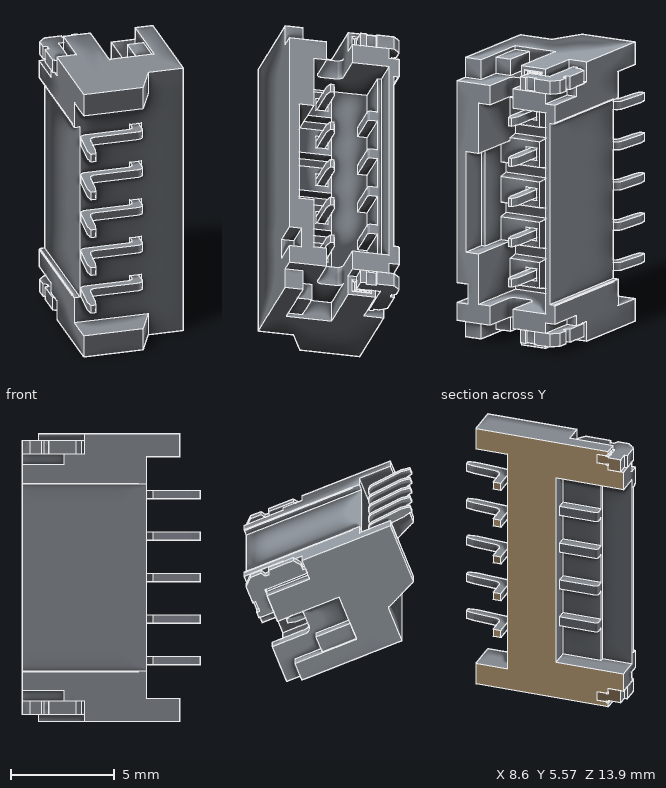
import cadquery as cq


CONTACT_COUNT = 5
PITCH = 2.0
CONTACT_SIZE = 0.4
CONTACT_Y = 3.09

HALF_LENGTH = 6.95
HOUSING_HEIGHT = 5.49
BODY_BACK_X = 6.0
WING_BACK_X = 7.62
WING_INNER_Z = 5.82
WING_SLOPE_TOP_Y = 3.73
WING_SLOPE_BOTTOM_Y = 2.99

RELIEF_HEIGHT = 0.28
RELIEF_HALF_LENGTH = 4.5
LIP_STEP = 0.04
LIP_LENGTH = 5.62

CAVITY_DEPTH = 3.48
CAVITY_HALF_LENGTH = 5.0
CAVITY_BOTTOM_Y = 0.51
CAVITY_TOP_Y = 4.27
RAISED_HALF_LENGTH = 2.5
RAISED_TOP_Y = 4.99
MOUTH_DEPTH = 1.5
MOUTH_STEP = 0.2

RIB_WIDTH = 0.49
RIB_TOP_Y = 1.18
RIB_ROUND = 0.15

PAD_FRONT_X = 2.97
PAD_SIDE_TAPER = 0.11
PAD_BOTTOM_TAPER = 0.14
PAD_BOTTOM_Y = 2.49
PAD_HALF_WIDTH = 0.75
PAD_OVERLAP = 0.83
HOLE_SIZE = 0.61

SHELF_Z = 5.96
SHELF_STEP_X = 0.79
SLOT_BOTTOM_Y = 2.35
SLOT_TOP_Y = 3.63
SLOT_DEPTH = 2.03
SLOT_ROUND = 0.29
POCKET_TOP_Y = 4.6
POCKET_DEPTH = 4.0
BLOCK_FRONT_X = 2.21
BLOCK_BOTTOM_Y = 3.8
BLOCK_TOP_Z = 6.77
TAB_RECESS_LENGTH = 3.02
TAB_RECESS_HEIGHT = 0.99
UNDERCUT_LENGTH = 2.03
UNDERCUT_HEIGHT = 0.51
UNDERCUT_Z = 5.45

KEY_DEPTH = 0.61
KEY_LENGTH = 1.5
KEY_Z_MIN = -5.07
KEY_Z_MAX = -4.09

TONGUE_LENGTH = 0.55
TONGUE_RECT = (1.26, 2.0, 6.24, 6.67)
SOCKET_MOUTH_RECT = (1.18, 2.17, 6.16, 6.77)
SOCKET_LEAD_IN = 0.14

TAB_TOP_Z = 6.62
TAB_BOTTOM_Y = -0.08
TAB_FRONT_TOP_Y = 1.93
TAB_FOOT_TOP_Y = 0.75
TAB_HEEL_X = 2.86
TAB_HEEL_Y = 0.51
TAB_CORNER_Y = 0.26
TAB_FRONT_BEVEL_X = 0.38
TAB_HEEL_BEVEL_X = 2.6
FOOT_NOTCH_START_X = 0.93
FOOT_NOTCH_END_X = 1.3
FOOT_NOTCH_TOP_Y = 0.13
FOOT_NOTCH_TOP_START_X = 1.05
FOOT_NOTCH_TOP_END_X = 1.26
FRONT_GROOVE_DEPTH = 0.15
FRONT_GROOVE_BOTTOM_Y = 1.13
FRONT_GROOVE_TOP_Y = 1.64

CONTACT_FRONT_X = 0.99
CONTACT_TAPER_LENGTH = 0.39
TIP_TOP_INSET = 0.1
TIP_BOTTOM_INSET = 0.13
TAIL_TIP_BOTTOM_INSET = 0.05
LEG_FRONT_X = 6.32
BEND_RADIUS = 0.3
TAIL_END_X = 8.6
TAIL_TAPER_X = 8.17
TAIL_LOW_Y = 0.01
TAIL_SLOPE = 0.09


def box(x_min, x_max, y_min, y_max, z_min, z_max):
    """A block given by its limits along each axis."""
    size = (x_max - x_min, y_max - y_min, z_max - z_min)
    return cq.Workplane("XY").box(*size, centered=False).translate((x_min, y_min, z_min))


def tapered_block(x_start, rect_start, x_end, rect_end):
    """A block along X whose (y_min, y_max, z_min, z_max) section changes evenly from end to end."""
    wires = []
    for x, (y_min, y_max, z_min, z_max) in ((x_start, rect_start), (x_end, rect_end)):
        corners = [(x, y_min, z_min), (x, y_max, z_min), (x, y_max, z_max), (x, y_min, z_max)]
        wires.append(cq.Wire.makePolygon([cq.Vector(*corner) for corner in corners], close=True))
    return cq.Workplane(obj=cq.Solid.makeLoft(wires, True))


def both_ends(shape):
    """The shape and its mirror image at the other end of the housing."""
    return [shape, shape.mirror("XY")]


def contact_positions():
    middle = (CONTACT_COUNT - 1) / 2
    return [(index - middle) * PITCH for index in range(CONTACT_COUNT)]


def rib_positions():
    contacts = contact_positions()
    return [(low + high) / 2 for low, high in zip(contacts, contacts[1:])]


def housing_envelope():
    """The body between the wings, with the sloped wings reaching further back."""
    side_outline = [
        (0, 0),
        (WING_BACK_X, 0),
        (WING_BACK_X, WING_SLOPE_BOTTOM_Y),
        (BODY_BACK_X, WING_SLOPE_TOP_Y),
        (BODY_BACK_X, HOUSING_HEIGHT),
        (0, HOUSING_HEIGHT),
    ]
    envelope = cq.Workplane("XY").polyline(side_outline).close().extrude(HALF_LENGTH, both=True)
    return envelope.cut(
        box(BODY_BACK_X, WING_BACK_X, 0, HOUSING_HEIGHT, -WING_INNER_Z, WING_INNER_Z)
    )


def underside_relief():
    """Clearance under the body, slightly wider along its lower lip."""
    lip_half_length = RELIEF_HALF_LENGTH + LIP_STEP
    relief = box(0, BODY_BACK_X, 0, RELIEF_HEIGHT, -RELIEF_HALF_LENGTH, RELIEF_HALF_LENGTH)
    return relief.union(box(0, LIP_LENGTH, 0, LIP_STEP, -lip_half_length, lip_half_length))


def mating_cavity():
    """Stepped cavity that is higher in the middle and wider at its mouth."""
    inner_bottom = CAVITY_BOTTOM_Y + MOUTH_STEP
    inner_top = RAISED_TOP_Y - MOUTH_STEP
    length = CAVITY_HALF_LENGTH
    raised = RAISED_HALF_LENGTH
    cavity = box(0, CAVITY_DEPTH, inner_bottom, CAVITY_TOP_Y, -length, length)
    cavity = cavity.union(box(0, MOUTH_DEPTH, CAVITY_BOTTOM_Y, CAVITY_TOP_Y, -length, length))
    cavity = cavity.union(box(0, CAVITY_DEPTH, inner_bottom, inner_top, -raised, raised))
    return cavity.union(box(0, MOUTH_DEPTH, CAVITY_BOTTOM_Y, RAISED_TOP_Y, -raised, raised))


def cavity_rib(z):
    """A rib on the cavity floor with a rounded upper front edge."""
    half_width = RIB_WIDTH / 2
    rib = box(MOUTH_DEPTH, CAVITY_DEPTH, CAVITY_BOTTOM_Y, RIB_TOP_Y, z - half_width, z + half_width)
    return rib.faces("<X").edges(">Y").fillet(RIB_ROUND)


def contact_pad(z):
    """A pad that narrows towards the mating face and runs up into the cavity's upper wall."""
    top_y = CAVITY_TOP_Y + PAD_OVERLAP
    front_half_width = PAD_HALF_WIDTH - PAD_SIDE_TAPER
    base = (PAD_BOTTOM_Y, top_y, z - PAD_HALF_WIDTH, z + PAD_HALF_WIDTH)
    front = (PAD_BOTTOM_Y + PAD_BOTTOM_TAPER, top_y, z - front_half_width, z + front_half_width)
    return tapered_block(CAVITY_DEPTH, base, PAD_FRONT_X, front)


def contact_hole(z):
    half = HOLE_SIZE / 2
    return box(0, BODY_BACK_X, CONTACT_Y - half, CONTACT_Y + half, z - half, z + half)


def end_cuts():
    """Everything removed from the +Z end."""
    shelf = box(0, SHELF_STEP_X, 0, HOUSING_HEIGHT, SHELF_Z, HALF_LENGTH)

    pocket = box(0, POCKET_DEPTH, SLOT_BOTTOM_Y, POCKET_TOP_Y, SHELF_Z, HALF_LENGTH)
    block = box(
        BLOCK_FRONT_X, POCKET_DEPTH, BLOCK_BOTTOM_Y, POCKET_TOP_Y, SHELF_Z, BLOCK_TOP_Z
    )
    pocket = pocket.cut(block)

    slot = box(0, SLOT_DEPTH, SLOT_BOTTOM_Y, SLOT_TOP_Y, CAVITY_HALF_LENGTH, SHELF_Z)
    slot = slot.faces(">X").edges("|Z").fillet(SLOT_ROUND)

    tab_recess = box(0, TAB_RECESS_LENGTH, 0, TAB_RECESS_HEIGHT, SHELF_Z, HALF_LENGTH)
    undercut = box(0, UNDERCUT_LENGTH, 0, UNDERCUT_HEIGHT, UNDERCUT_Z, SHELF_Z)

    lead_in_end = SHELF_STEP_X + SOCKET_LEAD_IN
    lead_in = tapered_block(SHELF_STEP_X, SOCKET_MOUTH_RECT, lead_in_end, TONGUE_RECT)
    socket = box(SHELF_STEP_X, SHELF_STEP_X + TONGUE_LENGTH, *TONGUE_RECT)
    return [shelf, pocket, slot, tab_recess, undercut, lead_in, socket]


def make_housing():
    housing = housing_envelope().cut(underside_relief()).cut(mating_cavity())
    for z in rib_positions():
        housing = housing.union(cavity_rib(z))
    for z in contact_positions():
        housing = housing.union(contact_pad(z))
    for z in contact_positions():
        housing = housing.cut(contact_hole(z))
    for end_cut in end_cuts():
        for cutter in both_ends(end_cut):
            housing = housing.cut(cutter)
    key_groove = box(
        0, KEY_LENGTH, HOUSING_HEIGHT - KEY_DEPTH, HOUSING_HEIGHT, KEY_Z_MIN, KEY_Z_MAX
    )
    return housing.cut(key_groove)


def make_solder_tab():
    """L-shaped plate at the +Z end, with a tongue that plugs into the housing's socket."""
    outline = [
        (0, TAB_CORNER_Y),
        (TAB_FRONT_BEVEL_X, TAB_BOTTOM_Y),
        (FOOT_NOTCH_START_X, TAB_BOTTOM_Y),
        (FOOT_NOTCH_TOP_START_X, FOOT_NOTCH_TOP_Y),
        (FOOT_NOTCH_TOP_END_X, FOOT_NOTCH_TOP_Y),
        (FOOT_NOTCH_END_X, TAB_BOTTOM_Y),
        (TAB_HEEL_BEVEL_X, TAB_BOTTOM_Y),
        (TAB_HEEL_X, TAB_CORNER_Y),
        (TAB_HEEL_X, TAB_HEEL_Y),
        (TAB_RECESS_LENGTH, TAB_HEEL_Y),
        (TAB_RECESS_LENGTH, TAB_FOOT_TOP_Y),
        (SHELF_STEP_X, TAB_FOOT_TOP_Y),
        (SHELF_STEP_X, TAB_FRONT_TOP_Y),
        (0, TAB_FRONT_TOP_Y),
        (0, FRONT_GROOVE_TOP_Y),
        (FRONT_GROOVE_DEPTH, FRONT_GROOVE_TOP_Y),
        (FRONT_GROOVE_DEPTH, FRONT_GROOVE_BOTTOM_Y),
        (0, FRONT_GROOVE_BOTTOM_Y),
    ]
    plate = cq.Workplane("XY", origin=(0, 0, SHELF_Z)).polyline(outline).close()
    plate = plate.extrude(TAB_TOP_Z - SHELF_Z)
    return plate.union(box(SHELF_STEP_X, SHELF_STEP_X + TONGUE_LENGTH, *TONGUE_RECT))


def make_contact(z):
    """Square pin that leaves the housing's back, bends down and ends in a slightly falling tail."""
    half = CONTACT_SIZE / 2
    top = CONTACT_Y + half
    bottom = CONTACT_Y - half
    taper_x = CONTACT_FRONT_X + CONTACT_TAPER_LENGTH
    leg_back_x = LEG_FRONT_X + CONTACT_SIZE

    def tail_bottom(x):
        return TAIL_LOW_Y + TAIL_SLOPE * (TAIL_TAPER_X - x)

    upper_inner_bend = (LEG_FRONT_X, bottom)
    upper_outer_bend = (leg_back_x, top)
    lower_inner_bend = (leg_back_x, tail_bottom(leg_back_x) + CONTACT_SIZE)
    lower_outer_bend = (LEG_FRONT_X, tail_bottom(LEG_FRONT_X))
    outline = [
        (CONTACT_FRONT_X, bottom + TIP_BOTTOM_INSET),
        (CONTACT_FRONT_X, top - TIP_TOP_INSET),
        (taper_x, top),
        upper_outer_bend,
        lower_inner_bend,
        (TAIL_TAPER_X, TAIL_LOW_Y + CONTACT_SIZE),
        (TAIL_END_X, TAIL_LOW_Y + CONTACT_SIZE - TIP_TOP_INSET),
        (TAIL_END_X, TAIL_LOW_Y + TAIL_TIP_BOTTOM_INSET),
        (TAIL_TAPER_X, TAIL_LOW_Y),
        lower_outer_bend,
        upper_inner_bend,
        (taper_x, bottom),
    ]
    contact = cq.Workplane("XY").polyline(outline).close().extrude(half, both=True)
    for x, y in (upper_inner_bend, upper_outer_bend, lower_inner_bend, lower_outer_bend):
        bend_edge = cq.selectors.NearestToPointSelector((x, y, 0))
        contact = contact.edges(bend_edge).fillet(BEND_RADIUS)
    return contact.translate((0, 0, z))


housing = make_housing()
solder_tabs = both_ends(make_solder_tab())
contacts = [make_contact(z) for z in contact_positions()]

result = cq.Compound.makeCompound(
    [housing.val(), *[tab.val() for tab in solder_tabs], *[contact.val() for contact in contacts]]
)